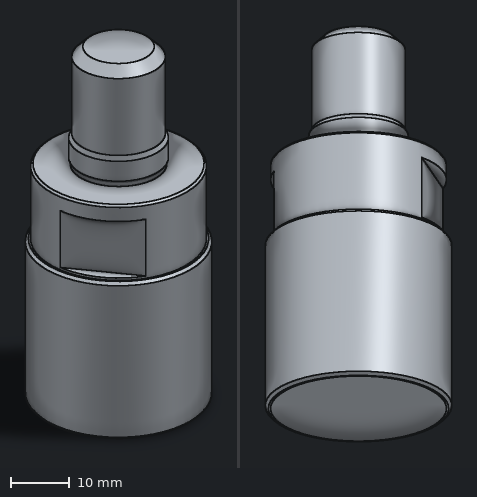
import cadquery as cq

sleeve_height = 30.5
flat_bottom = 30.95
flat_top = 41.95
shoulder_height = 45.05
neck_flare_top = 45.8
collar_bottom = 46.2
collar_top = 50.95
total_height = 67.75

sleeve_diameter = 31.85
shank_diameter = 30.0
neck_base_diameter = 16.5
neck_diameter = 16.3
collar_diameter = 17.0
pin_diameter = 16.0

sleeve_chamfer = 0.55
shoulder_chamfer = 0.4
collar_chamfer_height = 0.9
pin_chamfer = 1.9

flat_distance = 13.0
flat_direction = -48.0
flat_count = 2


def cylinder(diameter, bottom, top):
    """Upright cylinder on the Z axis between two heights."""
    return cq.Workplane("XY").workplane(offset=bottom).circle(diameter / 2).extrude(top - bottom)


def make_sleeve():
    """Chamfered tube around the lower end of the spindle."""
    body = cylinder(sleeve_diameter, 0, sleeve_height)
    body = body.faces("<Z or >Z").edges().chamfer(sleeve_chamfer)
    return body.cut(cylinder(shank_diameter, 0, sleeve_height))


def flat_cutter(angle):
    """Block that removes everything outside one wrench flat."""
    block = cq.Workplane("XY").box(
        shank_diameter, 2 * shank_diameter, flat_top - flat_bottom, centered=(False, True, False)
    )
    block = block.translate((flat_distance, 0, flat_bottom))
    return block.rotate((0, 0, 0), (0, 0, 1), angle)


def make_spindle():
    """Shank with two wrench flats, carrying a flared neck, a collar and a pin."""
    shank = cylinder(shank_diameter, 0, shoulder_height).faces(">Z").edges().chamfer(shoulder_chamfer)
    for index in range(flat_count):
        shank = shank.cut(flat_cutter(flat_direction + index * 360 / flat_count))

    neck = cylinder(neck_diameter, neck_flare_top, collar_bottom)
    flare = cq.Workplane("XY").workplane(offset=shoulder_height).circle(neck_base_diameter / 2)
    flare = flare.workplane(offset=neck_flare_top - shoulder_height).circle(neck_diameter / 2).loft(ruled=True)
    collar_chamfer_width = (collar_diameter - pin_diameter) / 2
    collar = cylinder(collar_diameter, collar_bottom, collar_top)
    collar = collar.faces(">Z").edges().chamfer(collar_chamfer_height, collar_chamfer_width)
    pin = cylinder(pin_diameter, collar_top, total_height).faces(">Z").edges().chamfer(pin_chamfer)
    return shank.union(flare).union(neck).union(collar).union(pin)


sleeve = make_sleeve()
spindle = make_spindle()
result = cq.Compound.makeCompound([sleeve.val(), spindle.val()])